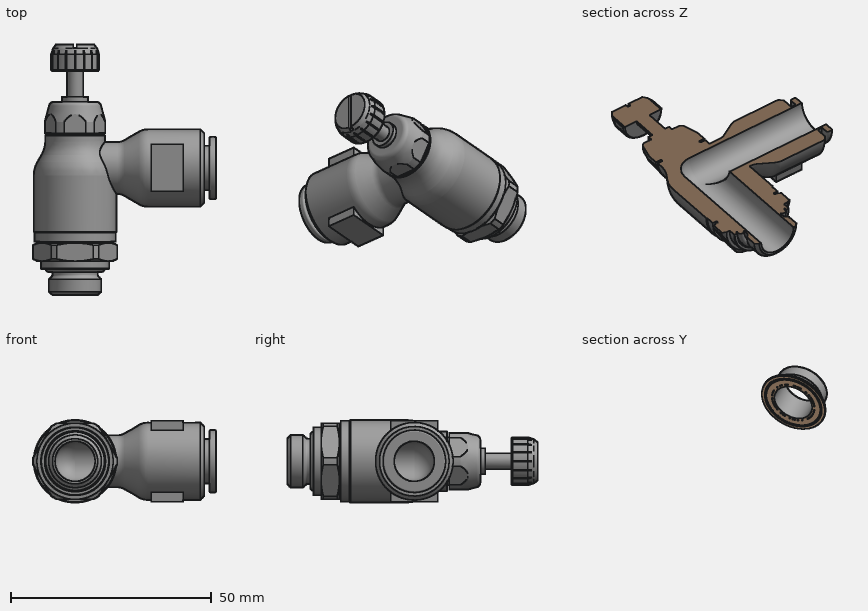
import math

import cadquery as cq

OVERLAP = 0.2

BORE_RADIUS = 5.0
BRANCH_Y = 31.7

THREAD_RADIUS = 6.58
THREAD_END_CHAMFER_LENGTH = 0.85
THREAD_END_CHAMFER_DEPTH = 0.95
THREAD_TOP = 3.95
UNDERCUT_RADIUS = 5.67
UNDERCUT_FILLET = 0.57

RING_TUBE_RADIUS = 0.9
RING_RADIUS = 6.5
RING_Y = 6.65
RING_SEAT_RADIUS = 7.6
RING_SEAT_DEPTH = 0.6
COLLAR_BOTTOM = 6.5
COLLAR_RADIUS = 8.53
COLLAR_CHAMFER = 0.15

STUD_HEX_BOTTOM = 8.5
STUD_HEX_TOP = 13.0
STUD_HEX_FLATS = 19.0
STUD_HEX_CORNER_RADIUS = 10.53
STUD_HEX_CHAMFER_LENGTH = 0.52
STUD_NECK_RADIUS = 8.93

BARREL_BOTTOM = 13.35
SKIRT_RADIUS = 10.15
SKIRT_TOP = 15.5
SKIRT_CHAMFER_LENGTH = 0.33
BARREL_RADIUS = 10.33
BARREL_SHOULDER = 29.8
COLLAR_NECK_RADIUS = 7.48
BARREL_TOP = 39.95
BARREL_TOP_CHAMFER = 0.2
BARREL_BLEND_RADIUS = 6.8

BONNET_NECK_RADIUS = 6.0
BONNET_BOTTOM = 40.4
BONNET_TOP = 48.2
BONNET_FLATS = 14.15
BONNET_CORNER_RADIUS = 7.58
BONNET_TAPER_START = 43.2
BONNET_TOP_RADIUS = 6.25
BONNET_TOP_FILLET = 1.3

WASHER_RADIUS = 3.27
WASHER_TOP = 49.4
STEM_RADIUS = 2.05
KNOB_BOTTOM = 55.8
KNOB_TOP = 62.5
KNOB_RADIUS = 6.02
KNOB_BOTTOM_CHAMFER_LENGTH = 0.4
KNOB_BOTTOM_CHAMFER_DEPTH = 0.35
CROWN_HEIGHT = 2.5
CROWN_RIM_HEIGHT = 1.0
CROWN_RIM_RADIUS = 5.5
CROWN_TOP_RADIUS = 4.75
GRIP_SLIT_COUNT = 16
GRIP_SLIT_WIDTH = 0.25
GRIP_SLIT_FLOOR_RADIUS = 5.72
DRIVER_SLOT_WIDTH = 0.8
DRIVER_SLOT_DEPTH = 0.85

BRANCH_NECK_RADIUS = 6.53
PORT_SHOULDER = 18.07
PORT_RADIUS = 9.67
PORT_END = 32.2
PORT_END_CHAMFER = 1.0
CONVEX_BLEND_RADIUS = 4.1
CONCAVE_BLEND_RADIUS = 3.0
SLEEVE_NECK_RADIUS = 5.57
SLEEVE_FLANGE_RADIUS = 7.8
SLEEVE_FLANGE_START = 33.46
SLEEVE_END = 35.17
SLEEVE_FLANGE_FILLET = 0.45

PAD_START = 18.96
PAD_LENGTH = 8.0
PAD_WIDTH = 11.7
PAD_HALF_HEIGHT = 10.13

TAPER_ANGLE = math.radians(30)


def disc(radius, bottom, top):
    """Cylinder around the Y axis."""
    return cq.Workplane("XZ", origin=(0, bottom, 0)).circle(radius).extrude(bottom - top)


def revolve_y(profile):
    """Close a (radius, station) outline and spin it around the Y axis."""
    return profile.close().revolve(360, (0, 0, 0), (0, 1, 0))


def outline(*points):
    """Open straight-sided outline through (radius, station) points."""
    return cq.Workplane("XY").polyline(list(points))


def hexagon(flats, bottom, top):
    """Hexagonal prism along Y with two flats facing +Z and -Z."""
    corner_diameter = flats / math.cos(math.pi / 6)
    return cq.Workplane("XZ", origin=(0, bottom, 0)).polygon(6, corner_diameter).extrude(bottom - top)


def taper_points(large_radius, small_radius, large_station, direction, convex, concave):
    """Points of a taper blended by a tangent arc at each end, from large to small radius."""
    half = TAPER_ANGLE / 2
    drop_convex = convex * (1 - math.cos(TAPER_ANGLE))
    drop_concave = concave * (1 - math.cos(TAPER_ANGLE))
    cone_drop = large_radius - small_radius - drop_convex - drop_concave
    run_convex = convex * math.sin(TAPER_ANGLE)
    run_concave = concave * math.sin(TAPER_ANGLE)
    run = run_convex + cone_drop / math.tan(TAPER_ANGLE) + run_concave

    def at(radius, distance):
        return (radius, large_station + direction * distance)

    return [
        at(large_radius, 0),
        at(large_radius - convex * (1 - math.cos(half)), convex * math.sin(half)),
        at(large_radius - drop_convex, run_convex),
        at(small_radius + drop_concave, run - run_concave),
        at(small_radius + concave * (1 - math.cos(half)), run - concave * math.sin(half)),
        at(small_radius, run),
    ]


def add_taper(profile, points):
    """Append arc, straight line and arc through the taper points."""
    start, first_mid, first_end, second_start, second_mid, end = points
    return (
        profile.lineTo(*start)
        .threePointArc(first_mid, first_end)
        .lineTo(*second_start)
        .threePointArc(second_mid, end)
    )


def make_stud():
    undercut_cone_drop = THREAD_RADIUS - UNDERCUT_RADIUS
    corner_y = THREAD_TOP + undercut_cone_drop
    half_turn = math.radians(45) / 2
    fillet_tangent = UNDERCUT_FILLET * math.tan(half_turn)
    diagonal = fillet_tangent * math.sqrt(0.5)
    fillet_mid = (
        UNDERCUT_RADIUS + UNDERCUT_FILLET * (1 - math.cos(half_turn)),
        corner_y + fillet_tangent - UNDERCUT_FILLET * math.sin(half_turn),
    )
    body = (
        cq.Workplane("XY")
        .lineTo(THREAD_RADIUS - THREAD_END_CHAMFER_DEPTH, 0)
        .lineTo(THREAD_RADIUS, THREAD_END_CHAMFER_LENGTH)
        .lineTo(THREAD_RADIUS, THREAD_TOP)
        .lineTo(UNDERCUT_RADIUS + diagonal, corner_y - diagonal)
        .threePointArc(fillet_mid, (UNDERCUT_RADIUS, corner_y + fillet_tangent))
        .lineTo(UNDERCUT_RADIUS, COLLAR_BOTTOM + RING_SEAT_DEPTH)
        .lineTo(RING_SEAT_RADIUS, COLLAR_BOTTOM + RING_SEAT_DEPTH)
        .lineTo(RING_SEAT_RADIUS, COLLAR_BOTTOM)
        .lineTo(COLLAR_RADIUS - COLLAR_CHAMFER, COLLAR_BOTTOM)
        .lineTo(COLLAR_RADIUS, COLLAR_BOTTOM + COLLAR_CHAMFER)
        .lineTo(COLLAR_RADIUS, STUD_HEX_BOTTOM + OVERLAP)
        .lineTo(0, STUD_HEX_BOTTOM + OVERLAP)
    )
    ring = (
        cq.Workplane("XY")
        .center(RING_RADIUS, RING_Y)
        .circle(RING_TUBE_RADIUS)
        .revolve(360, (-RING_RADIUS, 0, 0), (-RING_RADIUS, 1, 0))
    )
    neck = disc(STUD_NECK_RADIUS, STUD_HEX_TOP - OVERLAP, BARREL_BOTTOM + OVERLAP)
    return revolve_y(body).union(ring).union(make_stud_hex()).union(neck)


def make_stud_hex():
    face_radius = STUD_HEX_FLATS / 2
    envelope = outline(
        (0, STUD_HEX_BOTTOM),
        (face_radius, STUD_HEX_BOTTOM),
        (STUD_HEX_CORNER_RADIUS, STUD_HEX_BOTTOM + STUD_HEX_CHAMFER_LENGTH),
        (STUD_HEX_CORNER_RADIUS, STUD_HEX_TOP - STUD_HEX_CHAMFER_LENGTH),
        (face_radius, STUD_HEX_TOP),
        (0, STUD_HEX_TOP),
    )
    return hexagon(STUD_HEX_FLATS, STUD_HEX_BOTTOM, STUD_HEX_TOP).intersect(revolve_y(envelope))


def make_barrel():
    shoulder = taper_points(
        BARREL_RADIUS, COLLAR_NECK_RADIUS, BARREL_SHOULDER, 1, BARREL_BLEND_RADIUS, BARREL_BLEND_RADIUS
    )
    profile = (
        cq.Workplane("XY")
        .moveTo(0, BARREL_BOTTOM)
        .lineTo(SKIRT_RADIUS, BARREL_BOTTOM)
        .lineTo(SKIRT_RADIUS, SKIRT_TOP)
        .lineTo(BARREL_RADIUS, SKIRT_TOP + SKIRT_CHAMFER_LENGTH)
    )
    profile = (
        add_taper(profile, shoulder)
        .lineTo(COLLAR_NECK_RADIUS, BARREL_TOP - BARREL_TOP_CHAMFER)
        .lineTo(COLLAR_NECK_RADIUS - BARREL_TOP_CHAMFER, BARREL_TOP)
        .lineTo(0, BARREL_TOP)
    )
    return revolve_y(profile)


def make_bonnet():
    envelope = outline(
        (0, BONNET_BOTTOM),
        (BONNET_CORNER_RADIUS, BONNET_BOTTOM),
        (BONNET_CORNER_RADIUS, BONNET_TAPER_START),
        (BONNET_TOP_RADIUS, BONNET_TOP),
        (0, BONNET_TOP),
    )
    dome = revolve_y(envelope).faces(">Y").edges().fillet(BONNET_TOP_FILLET)
    nut = hexagon(BONNET_FLATS, BONNET_BOTTOM, BONNET_TOP).intersect(dome)
    neck = disc(BONNET_NECK_RADIUS, BARREL_TOP - OVERLAP, BONNET_BOTTOM + OVERLAP)
    washer = disc(WASHER_RADIUS, BONNET_TOP - OVERLAP, WASHER_TOP)
    return nut.union(neck).union(washer)


def make_knob():
    profile = outline(
        (0, KNOB_BOTTOM),
        (KNOB_RADIUS - KNOB_BOTTOM_CHAMFER_DEPTH, KNOB_BOTTOM),
        (KNOB_RADIUS, KNOB_BOTTOM + KNOB_BOTTOM_CHAMFER_LENGTH),
        (KNOB_RADIUS, KNOB_TOP - CROWN_HEIGHT),
        (CROWN_RIM_RADIUS, KNOB_TOP - CROWN_RIM_HEIGHT),
        (CROWN_TOP_RADIUS, KNOB_TOP),
        (0, KNOB_TOP),
    )
    knob = revolve_y(profile)
    for index in range(GRIP_SLIT_COUNT):
        knob = knob.cut(make_grip_slit(index * 360 / GRIP_SLIT_COUNT))
    driver_slot = cq.Workplane("XY").box(DRIVER_SLOT_WIDTH, 2 * DRIVER_SLOT_DEPTH, 2 * KNOB_RADIUS)
    stem = disc(STEM_RADIUS, WASHER_TOP - OVERLAP, KNOB_BOTTOM + OVERLAP)
    return knob.cut(driver_slot.translate((0, KNOB_TOP, 0))).union(stem)


def make_grip_slit(angle):
    """Cutter for one lengthwise slit, which runs out on the crown and the lower chamfer."""
    slit = cq.Workplane("XY").box(
        KNOB_RADIUS, KNOB_TOP - KNOB_BOTTOM, GRIP_SLIT_WIDTH, centered=(False, False, True)
    )
    return slit.translate((GRIP_SLIT_FLOOR_RADIUS, KNOB_BOTTOM, 0)).rotate((0, 0, 0), (0, 1, 0), angle)


def make_branch():
    """Neck, port and tube sleeve, built along Y and then swung onto the +X branch axis."""
    taper = taper_points(
        PORT_RADIUS, BRANCH_NECK_RADIUS, PORT_SHOULDER, -1, CONVEX_BLEND_RADIUS, CONCAVE_BLEND_RADIUS
    )
    profile = cq.Workplane("XY").lineTo(BRANCH_NECK_RADIUS, 0)
    profile = (
        add_taper(profile, taper[::-1])
        .lineTo(PORT_RADIUS, PORT_END - PORT_END_CHAMFER)
        .lineTo(PORT_RADIUS - PORT_END_CHAMFER, PORT_END)
        .lineTo(0, PORT_END)
    )
    sleeve = disc(SLEEVE_NECK_RADIUS, PORT_END - OVERLAP, SLEEVE_FLANGE_START + OVERLAP)
    flange = disc(SLEEVE_FLANGE_RADIUS, SLEEVE_FLANGE_START, SLEEVE_END)
    flange = flange.edges("%CIRCLE").fillet(SLEEVE_FLANGE_FILLET)
    pads = cq.Workplane("XY").box(
        PAD_WIDTH, PAD_LENGTH, 2 * PAD_HALF_HEIGHT, centered=(True, False, True)
    )
    branch = revolve_y(profile).union(pads.translate((0, PAD_START, 0))).union(sleeve).union(flange)
    return branch.rotate((0, 0, 0), (0, 0, 1), -90).translate((0, BRANCH_Y, 0))


def drill(part):
    """Cut the elbow bore: stud end up to a ball end at the branch axis, then out through the port."""
    tip = BRANCH_Y + BORE_RADIUS
    shoulder = (BORE_RADIUS * math.sqrt(0.5), BRANCH_Y + BORE_RADIUS * math.sqrt(0.5))
    inlet_profile = (
        cq.Workplane("XY")
        .lineTo(BORE_RADIUS, 0)
        .lineTo(BORE_RADIUS, BRANCH_Y)
        .threePointArc(shoulder, (0, tip))
    )
    outlet = cq.Workplane("YZ", origin=(0, BRANCH_Y, 0)).circle(BORE_RADIUS).extrude(SLEEVE_END)
    return part.cut(revolve_y(inlet_profile)).cut(outlet)


fitting = make_stud().union(make_barrel()).union(make_branch()).union(make_bonnet()).union(make_knob())
result = drill(fitting)